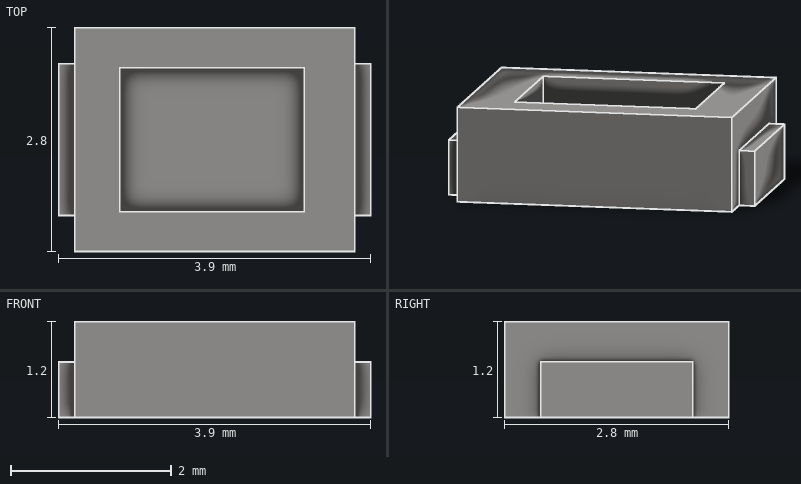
import cadquery as cq

overall_length = 3.9
body_width = 2.8
body_height = 1.2

terminal_projection = 0.2
terminal_width = 1.9
terminal_height = 0.7

pocket_length = 2.31
pocket_width = 1.8
pocket_depth = 0.5
pocket_offset_x = -0.035

body_length = overall_length - 2 * terminal_projection


def block(length, width, height):
    """Box centred in X and Y, standing on the bottom plane."""
    return cq.Workplane("XY").box(length, width, height, centered=(True, True, False))


body = block(body_length, body_width, body_height)
terminals = block(overall_length, terminal_width, terminal_height)

pocket_floor = body_height - pocket_depth
pocket = block(pocket_length, pocket_width, pocket_depth).translate((pocket_offset_x, 0, pocket_floor))

result = body.union(terminals).cut(pocket)